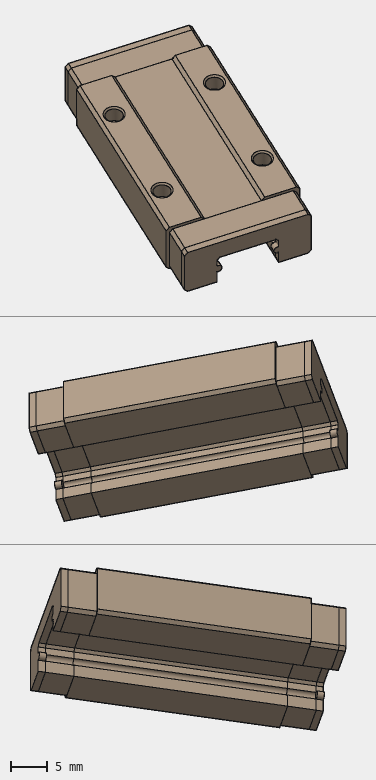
import cadquery as cq
import math

overall_length = 39.9
cap_length = 4.0
seal_length = 1.0
block_length = overall_length - 2 * (cap_length + seal_length)

block_width = 20.0
block_height = 8.0
edge_chamfer = 0.5
recess_depth = 0.5
recess_floor_width = 8.5

end_step = 0.5
end_width = block_width - 2 * end_step
end_height = block_height - end_step

slot_width = 9.2
slot_height = 4.6
slot_chamfer = 0.4

bead_radius = 0.58
bead_center_y = 4.45
bead_center_z = 2.5
bead_root_radius = slot_width / 2 - bead_center_y

groove_radius = 0.57
groove_center_y = slot_width / 2
groove_center_z = bead_center_z

hole_diameter = 2.5
hole_mouth_diameter = 3.0
hole_depth = 2.5
hole_spacing_x = 16.0
hole_spacing_y = 15.0
drill_point_angle = 118.0


def chamfered_bar(width, height, length):
    """Bar standing on Z = 0, centred on X and Y, with its four long edges chamfered."""
    bar = cq.Workplane("XY").box(length, width, height, centered=(True, True, False))
    return bar.edges("|X").chamfer(edge_chamfer)


def plain_slot():
    """Rail slot with straight walls and a chamfered ceiling, running the full length."""
    wall_y = slot_width / 2
    ceiling_y = wall_y - slot_chamfer
    wall_top_z = slot_height - slot_chamfer
    return (
        cq.Workplane("YZ", origin=(-overall_length / 2, 0, 0))
        .polyline([
            (-wall_y, 0),
            (wall_y, 0),
            (wall_y, wall_top_z),
            (ceiling_y, slot_height),
            (-ceiling_y, slot_height),
            (-wall_y, wall_top_z),
        ])
        .close()
        .extrude(overall_length)
    )


def ball_grooves():
    """Pair of round bars that hollow out the ball grooves in the two slot walls."""
    return (
        cq.Workplane("YZ", origin=(-overall_length / 2, 0, 0))
        .pushPoints([(-groove_center_y, groove_center_z), (groove_center_y, groove_center_z)])
        .circle(groove_radius)
        .extrude(overall_length)
    )


def sealing_beads():
    """Pair of beads on the slot walls, each blended into the wall above it by a concave arc."""
    wall_y = slot_width / 2
    bead_top = bead_center_z + bead_radius
    bead_bottom = bead_center_z - bead_radius
    bead_tip_y = bead_center_y - bead_radius
    root_top = bead_top + bead_root_radius
    bead = (
        cq.Workplane("YZ", origin=(-overall_length / 2, 0, 0))
        .moveTo(wall_y, bead_bottom)
        .lineTo(bead_center_y, bead_bottom)
        .threePointArc((bead_tip_y, bead_center_z), (bead_center_y, bead_top))
        .tangentArcPoint((wall_y, root_top), relative=False)
        .close()
        .extrude(overall_length)
    )
    return bead.union(bead.mirror("XZ"))


def top_recess():
    """Shallow channel with sloped sides that leaves a raised land along each long edge."""
    floor_half = recess_floor_width / 2
    mouth_half = floor_half + recess_depth
    floor_z = block_height - recess_depth
    return (
        cq.Workplane("YZ", origin=(-block_length / 2, 0, 0))
        .polyline([
            (-floor_half, floor_z),
            (floor_half, floor_z),
            (mouth_half, block_height),
            (-mouth_half, block_height),
        ])
        .close()
        .extrude(block_length)
    )


def mounting_hole(x, y):
    """Blind drilled hole with a conical bottom and a 45 degree countersunk mouth."""
    hole_radius = hole_diameter / 2
    mouth_radius = hole_mouth_diameter / 2
    mouth_depth = mouth_radius - hole_radius
    point_depth = hole_radius / math.tan(math.radians(drill_point_angle / 2))
    return (
        cq.Workplane("XZ")
        .polyline([
            (0, 0),
            (mouth_radius, 0),
            (hole_radius, -mouth_depth),
            (hole_radius, -hole_depth),
            (0, -hole_depth - point_depth),
        ])
        .close()
        .revolve(360, (0, 0, 0), (0, 1, 0))
        .translate((x, y, block_height))
    )


def make_block():
    """Carriage block with recessed top, rail slot and four mounting holes."""
    block = chamfered_bar(block_width, block_height, block_length)
    block = block.cut(top_recess()).cut(plain_slot()).cut(ball_grooves())
    for x in (-hole_spacing_x / 2, hole_spacing_x / 2):
        for y in (-hole_spacing_y / 2, hole_spacing_y / 2):
            block = block.cut(mounting_hole(x, y))
    return block


def make_end_cap(side):
    """End cap against the block face on the given side (-1 or +1), grooved like the block."""
    center_x = side * (block_length + cap_length) / 2
    cap = chamfered_bar(end_width, end_height, cap_length).translate((center_x, 0, 0))
    return cap.cut(plain_slot()).cut(ball_grooves())


def make_end_seal(side):
    """Thin end seal on the outer face of the cap on the given side (-1 or +1)."""
    center_x = side * (overall_length - seal_length) / 2
    seal = chamfered_bar(end_width, end_height, seal_length).translate((center_x, 0, 0))
    return seal.cut(plain_slot().cut(sealing_beads()))


block = make_block()
end_caps = [make_end_cap(side) for side in (-1, 1)]
end_seals = [make_end_seal(side) for side in (-1, 1)]

result = cq.Compound.makeCompound([
    block.val(),
    *[cap.val() for cap in end_caps],
    *[seal.val() for seal in end_seals],
])